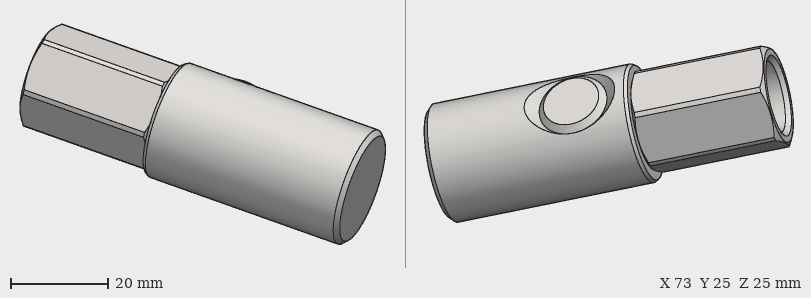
import cadquery as cq
import math

total_length = 73.0
hex_length = 28.8

hex_across_flats = 20.0
hex_corner_diameter = 22.5
hex_end_diameter = 19.65
hex_chamfer_angle = 30.0

body_diameter = 25.0
shoulder_chamfer_length = 0.7
shoulder_chamfer_depth = 0.45
end_chamfer = 1.0

bore_diameter = 15.05
bore_mouth_diameter = 17.0
bore_depth = hex_length

recess_x = 41.25
recess_mouth_diameter = 19.6
recess_slope = 45.0
plug_top_diameter = 12.0
plug_taper = 45.0
plug_top_depth = 1.1
plug_root = 0.7

body_radius = body_diameter / 2


def revolve_about_x(outline):
    """Turn a closed (x, radius) outline about the X axis."""
    return cq.Workplane("XY").polyline(outline).close().revolve(360, (0, 0, 0), (1, 0, 0))


def hex_shank():
    across_corners = hex_across_flats / math.cos(math.radians(30))
    prism = (
        cq.Workplane("YZ")
        .polygon(6, across_corners)
        .extrude(hex_length)
        .rotate((0, 0, 0), (1, 0, 0), 90)
    )
    corner_radius = hex_corner_diameter / 2
    end_radius = hex_end_diameter / 2
    chamfer_length = (corner_radius - end_radius) * math.tan(math.radians(hex_chamfer_angle))
    envelope = revolve_about_x([
        (0, 0),
        (0, end_radius),
        (chamfer_length, corner_radius),
        (hex_length - chamfer_length, corner_radius),
        (hex_length, end_radius),
        (hex_length, 0),
    ])
    return prism.intersect(envelope)


def round_body():
    return revolve_about_x([
        (hex_length, 0),
        (hex_length, body_radius - shoulder_chamfer_depth),
        (hex_length + shoulder_chamfer_length, body_radius),
        (total_length - end_chamfer, body_radius),
        (total_length, body_radius - end_chamfer),
        (total_length, 0),
    ])


def chamfered_bore():
    bore_radius = bore_diameter / 2
    mouth_radius = bore_mouth_diameter / 2
    return revolve_about_x([
        (0, 0),
        (0, mouth_radius),
        (mouth_radius - bore_radius, bore_radius),
        (bore_depth, bore_radius),
        (bore_depth, 0),
    ])


recess_mouth_radius = recess_mouth_diameter / 2
plug_top_radius = plug_top_diameter / 2
recess_spread = math.tan(math.radians(recess_slope))
plug_spread = math.tan(math.radians(plug_taper))
recess_depth = (
    (recess_mouth_radius - plug_top_radius + plug_top_depth * plug_spread)
    / (recess_spread + plug_spread)
)
recess_floor = body_radius - recess_depth
floor_radius = recess_mouth_radius - recess_depth * recess_spread


def revolve_at_recess(outline):
    """Turn a closed (radius, y) outline about the recess axis, which runs along Y."""
    profile = cq.Workplane("XY").polyline(outline).close()
    return profile.revolve(360, (0, 0, 0), (0, 1, 0)).translate((recess_x, 0, 0))


def conical_recess():
    return revolve_at_recess([
        (0, recess_floor),
        (floor_radius, recess_floor),
        (recess_mouth_radius, body_radius),
        (0, body_radius),
    ])


def plug():
    plug_top = body_radius - plug_top_depth
    return revolve_at_recess([
        (0, recess_floor - plug_root),
        (floor_radius, recess_floor - plug_root),
        (floor_radius, recess_floor),
        (plug_top_radius, plug_top),
        (0, plug_top),
    ])


turned_part = hex_shank().union(round_body()).cut(chamfered_bore())
result = turned_part.cut(conical_recess()).union(plug())